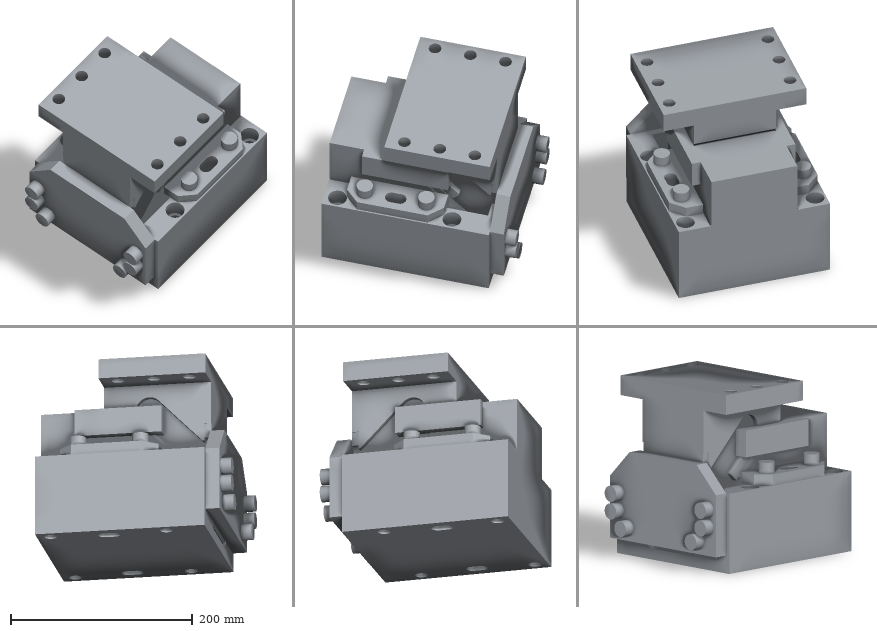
import cadquery as cq
import math


base_width = 175.0
base_depth = 190.0
base_height = 90.0
front_wall = 7.6
back_lip = 1.0
cavity_width = 120.0
floor_z = 12.0
opening_width = 84.0
opening_radius = 12.0

mount_hole_x = 75.0
mount_hole_ys = (45.0, 174.8)
mount_hole_diameter = 14.0
counterbore_diameter = 20.7
counterbore_depth = 20.0

head_diameter = 18.0
head_height = 12.0

plate_width = 165.0
plate_thickness = 16.0
plate_bottom = 20.0
plate_top = 120.0
plate_chamfer = 30.0
plate_heads = ((70.0, 72.4), (70.0, 52.5), (55.0, 34.9))

keeper_inner_x = 51.2
keeper_outer_x = 86.0
keeper_front = 55.0
keeper_length = 110.0
keeper_thickness = 12.0
keeper_chamfer = 15.0
keeper_head_x = 70.5
keeper_head_ys = (75.0, 145.0)
keeper_slot_x = 70.0
keeper_slot_length = 24.0
keeper_slot_width = 14.0
keeper_back = keeper_front + keeper_length
keeper_slot_y = (keeper_front + keeper_back) / 2

slide_top = 150.0
neck_width = 99.5
relief_width = 2 * keeper_inner_x
relief_depth = 2.5
slide_ramp = 29.6
toe_width = 80.0
toe_bottom = 14.4
toe_radius = 15.0
lug_front = 53.2
lug_back = 150.9
lug_bottom = 120.0
lug_width = cavity_width
lug_tab_width = 89.4

driver_top = 200.0
driver_depth = 120.0
flange_width = 165.0
flange_thickness = 22.0
flange_hole_diameter = 14.0
flange_hole_x = 70.0
flange_hole_ys = (20.0, 60.0, 100.0)
body_width = 95.0
driver_ramp = 32.7
waist_width = 82.0
rail_ramp = 41.6
groove_radius = 15.0
groove_y = 69.3
groove_z = 149.0
groove_front_z = 110.3
rail_tip_sum = 143.7
rail_tip_radius = 2.0
pad_width = 96.5
pad_front_ramp = 40.8
pad_top = 143.9
pad_shoulder_z = 95.5
foot_width = 80.0
notch_depth = front_wall
notch_width = 93.3
notch_waist_width = 80.5
notch_top = 130.0
notch_shoulder_z = 114.2
shoulder_radius = 5.5

sides = (-1, 1)
half_root = math.sqrt(0.5)
rail_top_ramp = groove_z - groove_y - groove_radius / half_root
groove_top_ramp = groove_z - groove_y + groove_radius / half_root


def box(width, y0, y1, z0, z1):
    """Block centred on X = 0."""
    return cq.Workplane("XY").box(width, y1 - y0, z1 - z0, centered=(True, False, False)).translate((0, y0, z0))


def side_block(side, x0, x1, y0, y1, z0, z1):
    """Block on one side, between the distances x0 and x1 from the symmetry plane."""
    return box(x1 - x0, y0, y1, z0, z1).translate((side * (x0 + x1) / 2, 0, 0))


def across(outline, width):
    """Closed YZ outline extruded across X, centred on X = 0."""
    return outline.extrude(width / 2, both=True)


def beside(outline, side, x0, x1):
    """Closed YZ outline extruded on one side from the distance x0 to x1."""
    return outline.extrude(side * (x1 - x0)).translate((side * x0, 0, 0))


def upright_cylinder(x, y, z, diameter, height):
    return cq.Workplane("XY", origin=(x, y, z)).circle(diameter / 2).extrude(height)


def above_ramp(ramp):
    """Outline of the room in front of and above the 45 degree line Z = Y + ramp."""
    return cq.Workplane("YZ").polyline([(0, ramp), (0, driver_top), (driver_top - ramp, driver_top)]).close()


def make_base():
    base = box(base_width, 0, base_depth, 0, base_height)
    base = base.cut(box(cavity_width, front_wall, base_depth - back_lip, floor_z, base_height))
    opening = box(opening_width, 0, front_wall, floor_z, base_height).edges("|Y and <Z").fillet(opening_radius)
    base = base.cut(opening)
    for side in sides:
        for y in mount_hole_ys:
            x = side * mount_hole_x
            bore_bottom = base_height - counterbore_depth
            base = base.cut(upright_cylinder(x, y, 0, mount_hole_diameter, base_height))
            base = base.cut(upright_cylinder(x, y, bore_bottom, counterbore_diameter, counterbore_depth))
    return base


def make_front_plate():
    plate = box(plate_width, -plate_thickness, 0, plate_bottom, plate_top)
    plate = plate.edges("|Y and >Z").chamfer(plate_chamfer)
    for side in sides:
        for x, z in plate_heads:
            head = cq.Workplane("XZ", origin=(side * x, -plate_thickness, z)).circle(head_diameter / 2)
            plate = plate.union(head.extrude(head_height))
    return plate


def make_keeper(side):
    keeper_top = base_height + keeper_thickness
    keeper = side_block(side, keeper_inner_x, keeper_outer_x, keeper_front, keeper_back, base_height, keeper_top)
    outer_edges = "|Z and >X" if side > 0 else "|Z and <X"
    keeper = keeper.edges(outer_edges).chamfer(keeper_chamfer)
    for y in keeper_head_ys:
        keeper = keeper.union(upright_cylinder(side * keeper_head_x, y, keeper_top, head_diameter, head_height))
    return keeper


def make_keeper_slot(side):
    """Slot through one keeper plate and the base below it."""
    slot = cq.Workplane("XY", origin=(side * keeper_slot_x, keeper_slot_y, 0))
    return slot.slot2D(keeper_slot_length, keeper_slot_width, 90).extrude(base_height + keeper_thickness)


def make_housing():
    housing = make_base().union(make_front_plate())
    for side in sides:
        housing = housing.union(make_keeper(side)).cut(make_keeper_slot(side))
    return housing


def groove_outline():
    """Side groove: round at its upper end, two 45 degree flanks, open towards the foot of the driver."""
    reach = groove_radius * half_root
    top_tangent = (groove_y - reach, groove_z + reach)
    low_tangent = (groove_y + reach, groove_z - reach)
    crown = (groove_y + reach, groove_z + reach)
    tip_top = ((rail_tip_sum - rail_top_ramp) / 2, (rail_tip_sum + rail_top_ramp) / 2)
    tip_low = ((rail_tip_sum - rail_ramp) / 2, (rail_tip_sum + rail_ramp) / 2)
    outline = cq.Workplane("YZ").moveTo(*low_tangent).threePointArc(crown, top_tangent)
    outline = outline.lineTo(groove_front_z - groove_top_ramp, groove_front_z)
    outline = outline.lineTo(0, groove_front_z).lineTo(0, 0)
    outline = outline.lineTo(pad_top - driver_ramp, pad_top - driver_ramp)
    outline = outline.lineTo(pad_top - driver_ramp, pad_top)
    outline = outline.lineTo(pad_top - rail_ramp, pad_top)
    return outline.lineTo(*tip_low).lineTo(*tip_top).close()


def make_groove(side):
    """Groove of one side, with the tip of the rail below it rounded."""
    groove = beside(groove_outline(), side, waist_width / 2, body_width / 2)
    tip_y = (rail_tip_sum - rail_top_ramp) / 2
    tip_z = (rail_tip_sum + rail_top_ramp) / 2
    tip_edge = cq.selectors.NearestToPointSelector((side * (waist_width + body_width) / 4, tip_y, tip_z))
    return groove.edges(tip_edge).fillet(rail_tip_radius)


def make_shoulder_cut(side, inner_width, outer_width, y1, top):
    """Room beside a narrowed part, with a round inner top edge, from the front back to y1."""
    room = side_block(side, inner_width / 2, outer_width / 2, 0, y1, 0, top)
    inner_edge = cq.selectors.NearestToPointSelector((side * inner_width / 2, y1 / 2, top))
    return room.edges(inner_edge).fillet(shoulder_radius)


def make_notch(side):
    """Shallow step at the front corner, running into a narrow waist through a hollow fillet."""
    step = side_block(side, notch_width / 2, body_width / 2, 0, notch_depth, 0, notch_top)
    return step.union(make_shoulder_cut(side, notch_waist_width, body_width, notch_depth, notch_shoulder_z))


def pad_outline():
    """Sliding pad between the slide ramp and the driver body."""
    return cq.Workplane("YZ").polyline([
        (0, slide_ramp),
        (0, pad_front_ramp),
        (pad_top - pad_front_ramp, pad_top),
        (pad_top - slide_ramp, pad_top),
    ]).close()


def make_pad():
    pad = across(pad_outline(), pad_width)
    for side in sides:
        pad = pad.cut(make_shoulder_cut(side, foot_width, pad_width, driver_depth, pad_shoulder_z))
    return pad


def make_driver():
    flange = box(flange_width, 0, driver_depth, driver_top - flange_thickness, driver_top)
    body = box(body_width, 0, driver_depth, 0, driver_top)
    driver = body.intersect(across(above_ramp(driver_ramp), body_width)).union(flange)
    for side in sides:
        driver = driver.cut(make_groove(side)).cut(make_notch(side))
        for y in flange_hole_ys:
            x = side * flange_hole_x
            driver = driver.cut(upright_cylinder(x, y, 0, flange_hole_diameter, driver_top))
    return driver.cut(across(pad_outline(), body_width)).union(make_pad())


def make_lug(side):
    """Side lug with an inward tab in the driver groove, cut clear of the sliding pad."""
    lug = side_block(side, body_width / 2, lug_width / 2, lug_front, lug_back, lug_bottom, slide_top)
    tab = side_block(side, lug_tab_width / 2, body_width / 2, lug_front, lug_back, lug_bottom, slide_top)
    tab = tab.intersect(across(above_ramp(rail_top_ramp), body_width)).intersect(make_groove(side))
    return lug.union(tab).cut(across(pad_outline(), pad_width))


def make_slide():
    cavity_back = base_depth - back_lip
    flange = box(cavity_width, front_wall, cavity_back, floor_z, base_height)
    neck = box(neck_width, front_wall, base_depth, base_height, slide_top)
    toe = box(toe_width, 0, front_wall, toe_bottom, base_height).edges("|Y and <Z").fillet(toe_radius)
    slide = flange.union(neck).union(toe)
    for side in sides:
        slide = slide.cut(side_block(side, neck_width / 2, relief_width / 2, front_wall, cavity_back,
                                     base_height - relief_depth, base_height))
    slide = slide.cut(across(above_ramp(slide_ramp), cavity_width))
    for side in sides:
        slide = slide.union(make_lug(side))
    return slide


housing = make_housing()
driver = make_driver()
slide = make_slide()

result = cq.Compound.makeCompound([body.solids().val() for body in (housing, driver, slide)])